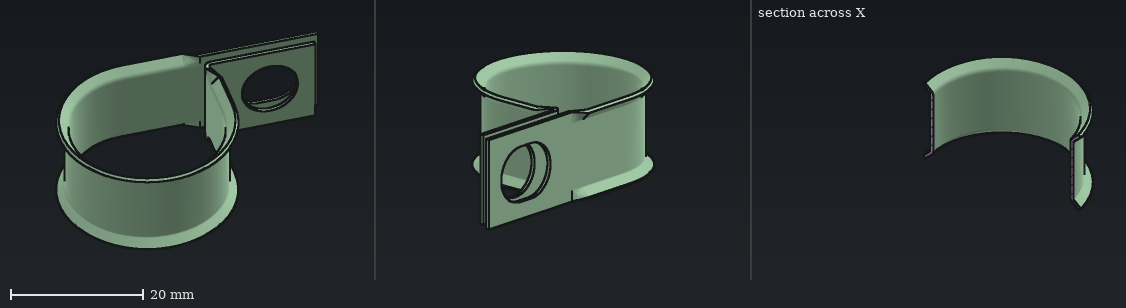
import cadquery as cq
import math

thickness = 0.65
width = 14.27
rim_radius = 13.815
body_radius = 12.54
flare_angle = math.radians(45)
bend_inner_radius = 0.35
tab_bend_inner_radius = 0.5
ring_angle = 270
taper_length = 2.5

long_tab_end = 30.555
short_tab_end = 29.4
tab_gap = 1.55

hole_y = 22.25
hole_diameter = 8.8
slot_length = 11.1

half_width = width / 2
inner_radius = body_radius - thickness
bend_outer_radius = bend_inner_radius + thickness
tab_bend_outer_radius = tab_bend_inner_radius + thickness
edge_offset = thickness * math.cos(flare_angle)
short_tab_x = -inner_radius + tab_gap
tab_bend_x = short_tab_x + tab_bend_outer_radius
tab_bend_y = inner_radius + tab_bend_outer_radius
long_flare_end = inner_radius - taper_length
short_flare_end = -tab_bend_x - taper_length

flare_bend_r = inner_radius + bend_outer_radius
rim_tip_z = half_width - edge_offset
outer_corner_z = rim_tip_z - (rim_radius - body_radius) / math.tan(flare_angle)
flare_bend_z = outer_corner_z - bend_inner_radius * math.tan(flare_angle / 2)

long_leg_plane = cq.Plane(origin=(0, 0, 0), xDir=(-1, 0, 0), normal=(0, 1, 0))
short_leg_plane = cq.Plane(origin=(0, 0, 0), xDir=(0, 1, 0), normal=(-1, 0, 0))


def bend_point(radius, angle):
    """Point on a flare bend, turned by angle from the flat band."""
    return (
        flare_bend_r - radius * math.cos(angle),
        flare_bend_z + radius * math.sin(angle),
    )


def mirrored(point):
    """The same point below the mid-plane Z = 0."""
    return (point[0], -point[1])


def flared_section(workplane):
    """Channel section: flat web with a rim flared outward at both edges."""
    outer_start = bend_point(bend_inner_radius, 0)
    outer_mid = bend_point(bend_inner_radius, flare_angle / 2)
    outer_end = bend_point(bend_inner_radius, flare_angle)
    inner_start = bend_point(bend_outer_radius, 0)
    inner_mid = bend_point(bend_outer_radius, flare_angle / 2)
    inner_end = bend_point(bend_outer_radius, flare_angle)
    tip = (rim_radius, rim_tip_z)
    edge = (rim_radius - edge_offset, half_width)
    return (
        workplane.moveTo(*mirrored(outer_start))
        .lineTo(*outer_start)
        .threePointArc(outer_mid, outer_end)
        .lineTo(*tip)
        .lineTo(*edge)
        .lineTo(*inner_end)
        .threePointArc(inner_mid, inner_start)
        .lineTo(*mirrored(inner_start))
        .threePointArc(mirrored(inner_mid), mirrored(inner_end))
        .lineTo(*mirrored(edge))
        .lineTo(*mirrored(tip))
        .lineTo(*mirrored(outer_end))
        .threePointArc(mirrored(outer_mid), mirrored(outer_start))
        .close()
    )


def flat_section(workplane):
    """Flat strip section with the same vertices as the flared one."""
    outer_bend_end = bend_point(bend_inner_radius, flare_angle)[1]
    inner_bend_end = bend_point(bend_outer_radius, flare_angle)[1]
    outer_heights = [-flare_bend_z, flare_bend_z, outer_bend_end, half_width]
    inner_heights = [half_width, inner_bend_end, flare_bend_z]
    points = [(body_radius, z) for z in outer_heights]
    points += [(inner_radius, z) for z in inner_heights]
    points += [(inner_radius, -z) for z in reversed(inner_heights)]
    points += [(body_radius, -half_width), (body_radius, -outer_bend_end)]
    return workplane.polyline(points).close()


def flared_leg(plane, length):
    """Straight flared leg, tangent to the ring, ending in a taper to flat."""
    straight = flared_section(cq.Workplane(plane)).extrude(length)
    taper_start = flared_section(cq.Workplane(plane).workplane(offset=length))
    taper = flat_section(taper_start.workplane(offset=taper_length)).loft(ruled=True)
    return straight.union(taper)


def ring():
    """Three-quarter ring joining the two legs around the -Y and +X sides."""
    section = flared_section(cq.Workplane(long_leg_plane))
    return section.revolve(ring_angle, (0, 0), (0, 1))


def long_tab():
    """Flat tab continuing the long leg, with a slot through it."""
    length = long_tab_end - inner_radius
    tab = cq.Workplane("XY").box(thickness, length, width, centered=(False, False, True))
    tab = tab.translate((-body_radius, inner_radius, 0))
    slot = (
        cq.Workplane("YZ", origin=(-body_radius, hole_y, 0))
        .slot2D(slot_length, hole_diameter)
        .extrude(thickness)
    )
    return tab.cut(slot)


def short_tab():
    """Tab bent up from the short leg, with a round hole through it."""
    outer_diagonal = tab_bend_outer_radius * math.sqrt(0.5)
    inner_diagonal = tab_bend_inner_radius * math.sqrt(0.5)
    far_face_x = short_tab_x + thickness
    outline = (
        cq.Workplane("XY")
        .moveTo(tab_bend_x, inner_radius)
        .threePointArc(
            (tab_bend_x - outer_diagonal, tab_bend_y - outer_diagonal),
            (short_tab_x, tab_bend_y),
        )
        .lineTo(short_tab_x, short_tab_end)
        .lineTo(far_face_x, short_tab_end)
        .lineTo(far_face_x, tab_bend_y)
        .threePointArc(
            (tab_bend_x - inner_diagonal, tab_bend_y - inner_diagonal),
            (tab_bend_x, body_radius),
        )
        .close()
    )
    hole = (
        cq.Workplane("YZ", origin=(short_tab_x, hole_y, 0))
        .circle(hole_diameter / 2)
        .extrude(thickness)
    )
    return outline.extrude(half_width, both=True).cut(hole)


result = (
    ring()
    .union(flared_leg(long_leg_plane, long_flare_end))
    .union(flared_leg(short_leg_plane, short_flare_end))
    .union(long_tab())
    .union(short_tab())
    .solids()
)